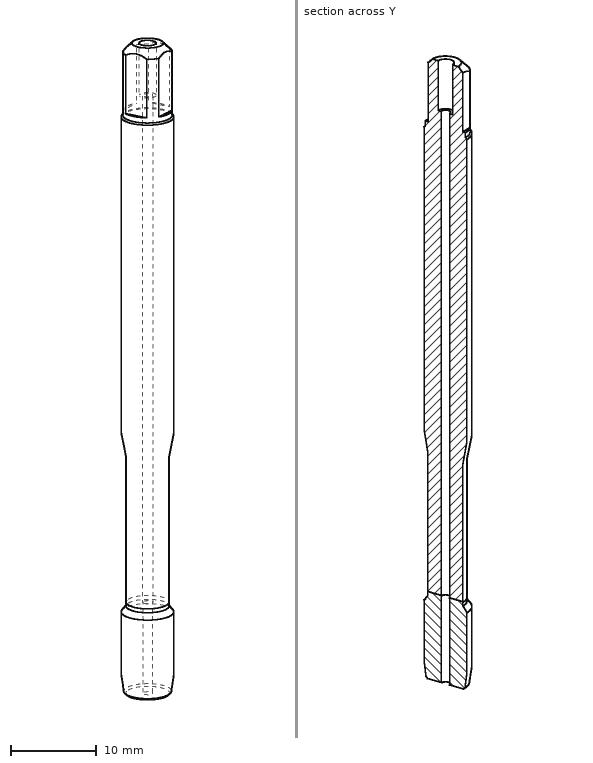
import cadquery as cq

total_length = 80.0
head_joint_z = 11.2
neck_top_z = 29.0
shank_bottom_z = 32.0

shank_diameter = 6.2
neck_diameter = 5.0

square_length = 8.2
square_across_flats = 5.0
square_corner_diameter = 5.8
collar_length = 0.6
top_face_diameter = 3.7

head_diameter = 6.2
head_bottom_diameter = 5.6
head_neck_bottom_z = 10.7
head_top_z = 10.0
lead_length = 2.2
bottom_chamfer = 0.2

shank_channel_diameter = 1.2
head_channel_diameter = 1.1
inlet_diameter = 2.0
inlet_depth = 6.4


def revolve_profile(points):
    """Turn a profile of (radius, z) points about the Z axis."""
    return cq.Workplane("XZ").polyline(points).close().revolve(360, (0, 0), (0, 1))


def bore(diameter, bottom_z, top_z):
    """Cylinder on the Z axis, used for cutting."""
    return cq.Workplane("XY").workplane(offset=bottom_z).circle(diameter / 2).extrude(top_z - bottom_z)


def make_shank():
    collar_top_z = total_length - square_length
    collar_bottom_z = collar_top_z - collar_length
    corner_radius = square_corner_diameter / 2
    shank_radius = shank_diameter / 2
    shoulder_chamfer = shank_radius - corner_radius
    top_face_radius = top_face_diameter / 2
    top_chamfer = corner_radius - top_face_radius

    shank = revolve_profile([
        (0, head_joint_z),
        (neck_diameter / 2, head_joint_z),
        (neck_diameter / 2, neck_top_z),
        (shank_radius, shank_bottom_z),
        (shank_radius, collar_bottom_z - shoulder_chamfer),
        (corner_radius, collar_bottom_z),
        (corner_radius, total_length - top_chamfer),
        (top_face_radius, total_length),
        (0, total_length),
    ])

    drive = cq.Workplane("XY").workplane(offset=collar_top_z)
    outside_square = (
        drive.rect(2 * shank_diameter, 2 * shank_diameter)
        .rect(square_across_flats, square_across_flats)
        .extrude(square_length)
    )
    shank = shank.cut(outside_square)
    shank = shank.cut(bore(shank_channel_diameter, head_joint_z, total_length))
    return shank.cut(bore(inlet_diameter, total_length - inlet_depth, total_length))


def make_head():
    head_radius = head_diameter / 2
    bottom_radius = head_bottom_diameter / 2
    head = revolve_profile([
        (0, 0),
        (bottom_radius - bottom_chamfer, 0),
        (bottom_radius, bottom_chamfer),
        (head_radius, lead_length),
        (head_radius, head_top_z),
        (neck_diameter / 2, head_neck_bottom_z),
        (neck_diameter / 2, head_joint_z),
        (0, head_joint_z),
    ])
    return head.cut(bore(head_channel_diameter, 0, head_joint_z))


shank = make_shank()
head = make_head()

result = cq.Compound.makeCompound([shank.val(), head.val()])